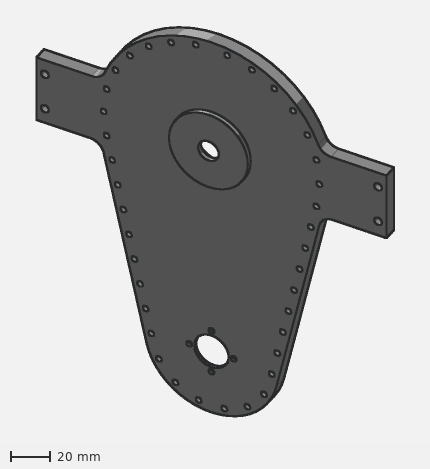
import cadquery as cq
import math

plate_thickness = 8.0
head_radius = 67.5
tail_radius = 39.0
tail_drop = 130.0

arm_span = 205.0
arm_height = 40.0
arm_fillet = 8.0
arm_hole_diameter = 4.5
arm_hole_spacing_x = 195.0
arm_hole_spacing_z = 22.0

boss_diameter = 46.0
boss_height = 3.0
bore_diameter = 12.0
bore_recess_diameter = 27.2
bore_recess_depth = 8.0

tail_bore_diameter = 20.0
tail_recess_diameter = 33.0
tail_recess_depth = 6.0
tail_screw_circle_radius = 13.0
tail_screw_count = 4
screw_diameter = 3.3

rim_head_radius = 63.1
rim_tail_radius = 34.8
rim_head_step = 13.6
rim_head_first = -1
rim_head_last = 6
rim_tail_step = 24.9
rim_tail_count = 6
rim_flank_count = 8
rim_flank_start = 15.8
rim_flank_pitch = rim_head_radius * math.radians(rim_head_step)


def tangent_angle(upper_radius, lower_radius):
    """Tilt in radians of the line touching the head and tail circles."""
    return math.asin((upper_radius - lower_radius) / tail_drop)


def polar(radius, angle, centre_z=0.0):
    return (radius * math.cos(angle), centre_z + radius * math.sin(angle))


def mirrored(point):
    return (-point[0], point[1])


def extrude_back(sketch):
    """Extrude an XZ outline through the plate towards +Y."""
    return sketch.extrude(-plate_thickness)


def make_plate():
    tilt = tangent_angle(head_radius, tail_radius)
    head_tangent = polar(head_radius, -tilt)
    tail_tangent = polar(tail_radius, -tilt, -tail_drop)
    body = extrude_back(
        cq.Workplane("XZ")
        .moveTo(*head_tangent)
        .threePointArc((0, head_radius), mirrored(head_tangent))
        .lineTo(*mirrored(tail_tangent))
        .threePointArc((0, -tail_drop - tail_radius), tail_tangent)
        .close()
    )
    arms = extrude_back(cq.Workplane("XZ").rect(arm_span, arm_height))
    corner_box = cq.selectors.BoxSelector(
        (-head_radius, -plate_thickness, -arm_height),
        (head_radius, 2 * plate_thickness, arm_height),
    )
    return body.union(arms).edges("|Y").edges(corner_box).fillet(arm_fillet)


def rim_hole_points():
    """Hole centres around the head, down both flanks and around the tail."""
    right_side = []
    for step in range(rim_head_first, rim_head_last + 1):
        right_side.append(polar(rim_head_radius, math.radians(step * rim_head_step)))

    tilt = tangent_angle(rim_head_radius, rim_tail_radius)
    tangent_x, tangent_z = polar(rim_head_radius, -tilt)
    for index in range(rim_flank_count):
        distance = rim_flank_start + index * rim_flank_pitch
        right_side.append((tangent_x - distance * math.sin(tilt), tangent_z - distance * math.cos(tilt)))

    for index in range(rim_tail_count // 2):
        angle = math.radians(-90 + (index + 0.5) * rim_tail_step)
        right_side.append(polar(rim_tail_radius, angle, -tail_drop))

    return right_side + [mirrored(point) for point in right_side]


def drill(part, points, diameter):
    """Cut round holes through plate and boss at the given XZ points."""
    tools = (
        cq.Workplane("XZ", origin=(0, -boss_height, 0))
        .pushPoints(points)
        .circle(diameter / 2)
        .extrude(-(plate_thickness + boss_height))
    )
    return part.cut(tools)


def recess_back(part, centre, diameter, depth):
    """Sink a round counterbore into the back face at the given XZ point."""
    tool = (
        cq.Workplane("XZ", origin=(0, plate_thickness, 0))
        .center(*centre)
        .circle(diameter / 2)
        .extrude(depth)
    )
    return part.cut(tool)


boss = cq.Workplane("XZ").circle(boss_diameter / 2).extrude(boss_height)

arm_hole_points = [
    (side * arm_hole_spacing_x / 2, level * arm_hole_spacing_z / 2)
    for side in (-1, 1)
    for level in (-1, 1)
]
tail_screw_points = [
    polar(tail_screw_circle_radius, 2 * math.pi * index / tail_screw_count, -tail_drop)
    for index in range(tail_screw_count)
]

result = make_plate().union(boss)
result = drill(result, [(0, 0)], bore_diameter)
result = recess_back(result, (0, 0), bore_recess_diameter, bore_recess_depth)
result = drill(result, [(0, -tail_drop)], tail_bore_diameter)
result = recess_back(result, (0, -tail_drop), tail_recess_diameter, tail_recess_depth)
result = drill(result, arm_hole_points, arm_hole_diameter)
result = drill(result, tail_screw_points + rim_hole_points(), screw_diameter)